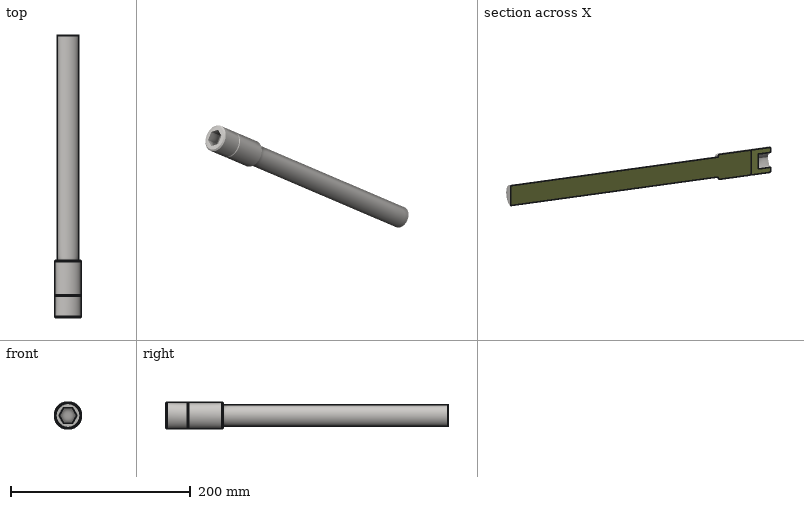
import cadquery as cq
import math

HEAD_DIAMETER = 30.0
END_CHAMFER = 1.5

SOCKET_LENGTH = 24.0
HEX_ACROSS_FLATS = 17.0
HEX_DEPTH = 15.0

COLLAR_LENGTH = 40.0
SHAFT_DIAMETER = 24.0
SHAFT_LENGTH = 250.0


def cylinder_along_y(diameter, start, length):
    """Solid cylinder on the Y axis, from start toward +Y."""
    plane = cq.Workplane("XZ", origin=(0, start, 0))
    return plane.circle(diameter / 2).extrude(-length)


def make_hex_recess():
    """Hexagonal prism with a flat at top and bottom, removed from the front face."""
    across_corners = HEX_ACROSS_FLATS / math.cos(math.pi / 6)
    return cq.Workplane("XZ").polygon(6, across_corners).extrude(-HEX_DEPTH)


def make_socket():
    """Cylinder with a chamfered front rim and a blind hexagonal recess."""
    radius = HEAD_DIAMETER / 2
    blank = (
        cq.Workplane("XY")
        .lineTo(radius - END_CHAMFER, 0)
        .lineTo(radius, END_CHAMFER)
        .lineTo(radius, SOCKET_LENGTH)
        .lineTo(0, SOCKET_LENGTH)
        .close()
        .revolve(360, (0, 0, 0), (0, 1, 0))
    )
    return blank.cut(make_hex_recess())


def make_extension():
    """Chamfered collar seated against the back of the socket, in one piece with the shaft."""
    collar = cylinder_along_y(HEAD_DIAMETER, SOCKET_LENGTH, COLLAR_LENGTH)
    collar = collar.faces("<Y or >Y").edges().chamfer(END_CHAMFER)
    shaft = cylinder_along_y(SHAFT_DIAMETER, SOCKET_LENGTH + COLLAR_LENGTH, SHAFT_LENGTH)
    return collar.union(shaft)


socket = make_socket()
extension = make_extension()

result = cq.Compound.makeCompound([socket.val(), extension.val()])